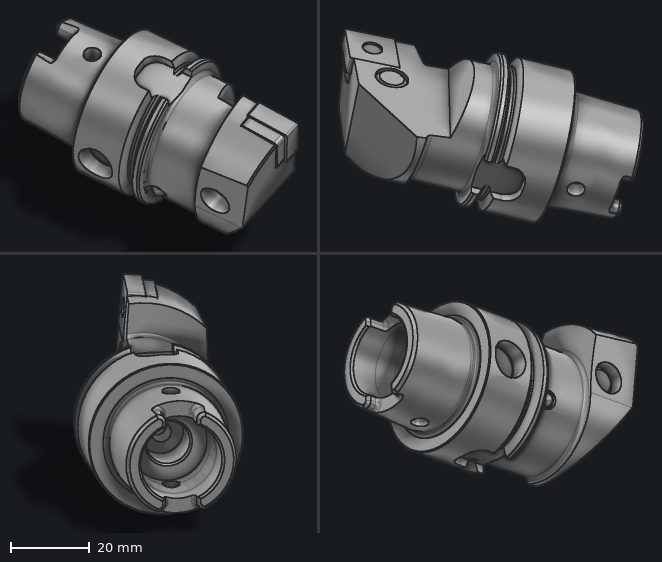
import cadquery as cq
import math


REACH = 149.8

shank_length = 20.0
shank_end_radius = 14.2
shank_gauge_radius = 15.05
shank_chamfer = 0.8
relief_start = -2.1
relief_length = 0.9
relief_radius = 14.8
relief_fillet = 0.75
face_recess_radius = 16.25
face_recess_depth = 0.15

mouth_radius = 11.1
bore_radius = 10.5
inner_bore_radius = 9.95
bore_taper_start = -12.2
bore_taper_end = -6.4
cavity_floor = -3.0
pilot_radius = 5.6
pilot_chamfer = 0.5
pilot_floor = 6.0
drill_radius = 2.55
drill_depth = 6.0

keyway_half_width = 4.05
keyway_wall_top = 11.0
keyway_edge_round = 1.8
keyway_flare_half_width = 9.0
keyway_floor_fillet = 1.0
keyway_mouth_chamfer = 0.9
upper_keyway_length = 6.15
lower_keyway_length = 3.4
cross_hole_x = -6.3
cross_hole_radius = 2.25

flange_radius = 20.0
flange_end = 19.8
flange_chamfer = 0.26
groove_start = 13.85
groove_floor_start = 15.5
groove_floor_end = 16.4
groove_end = 17.9
groove_radius = 17.2
groove_bend_radius = 17.45
groove_near_bend = 14.9
groove_far_bend = 16.85
rim_chamfer_start = 19.1
gripper_slot_start = 7.8
gripper_slot_half_width = 5.55
gripper_slot_corner = 4.2
gripper_slot_floor = 16.8
chip_hole_x = 6.9
chip_hole_radius = 5.0
chip_hole_depth = 4.95
chip_hole_chamfer = 0.2

neck_radius = 16.55
neck_fillet = 1.1
neck_end = 33.9
head_side = 18.05
head_back_x = 35.3
head_top_x = 37.1
head_top_radius = 24.65
head_front_x = 56.2
head_front_radius = 26.15
head_rim_chamfer = 0.45
head_rim_point = (53.9, 0.0, 25.7)

tip = (55.0, 0.0, 27.1)
rake_slope_x = 0.105
rake_slope_z = 0.1
rake_normal = (rake_slope_x, 1.0, rake_slope_z)
shoulder_point = (25.85, 16.55, 0.0)
shoulder_normal = (1.0, 0.28, 0.042)
end_face_point = (51.5, 0.0, 0.0)
end_face_normal = (1.0, -0.12, -0.094)
underside_point = (49.9, 0.0, 0.0)
underside_normal = (1.0, -0.035, -0.72)

screw_point = (41.3, -head_side, 5.9)
screw_radius = 4.23
screw_sink = 3.75
screw_chamfer = 1.05

insert_angle = math.radians(80)
insert_edge = 12.9
insert_thickness = 4.755
insert_nose = 0.5
insert_tilt = 0.09
insert_hole_radius = 2.55
shim_inset = 0.7
shim_thickness = 3.15
shim_edge = 11.8
shim_corner = 1.1
pocket_opening = 2.25

pin_sink = 0.6
pin_length = 10.5

nozzle_x = 22.85
nozzle_angle = math.radians(18)
nozzle_floor = 15.1
nozzle_recess_radius = 2.2
nozzle_rim = 16.5
nozzle_rim_radius = 2.55
nozzle_ball_distance = 15.6
nozzle_ball_radius = 1.9


def revolve_about_x(outline):
    return outline.close().revolve(360, (0, 0, 0), (1, 0, 0))


def beyond(point, normal):
    """Large block filling the side of a plane that its normal points to."""
    plane = cq.Plane(origin=point, normal=normal)
    return cq.Workplane(plane).rect(REACH, REACH).extrude(REACH)


def shank_and_flange():
    diagonal = math.sqrt(0.5)
    fillet_x = face_recess_depth - relief_fillet
    fillet_r = relief_radius + relief_fillet
    foot = flange_end + neck_fillet
    foot_r = neck_radius + neck_fillet
    outline = (
        cq.Workplane("XY")
        .moveTo(-shank_length, 0)
        .lineTo(-shank_length, shank_end_radius - shank_chamfer)
        .lineTo(-shank_length + shank_chamfer, shank_end_radius)
        .lineTo(relief_start, shank_gauge_radius)
        .lineTo(relief_start + relief_length, relief_radius)
        .lineTo(fillet_x, relief_radius)
        .threePointArc(
            (fillet_x + relief_fillet * diagonal, fillet_r - relief_fillet * diagonal),
            (face_recess_depth, fillet_r),
        )
        .lineTo(face_recess_depth, face_recess_radius)
        .lineTo(0, face_recess_radius)
        .lineTo(0, flange_radius - flange_chamfer)
        .lineTo(flange_chamfer, flange_radius)
        .lineTo(groove_start, flange_radius)
        .lineTo(groove_near_bend, groove_bend_radius)
        .lineTo(groove_floor_start, groove_radius)
        .lineTo(groove_floor_end, groove_radius)
        .lineTo(groove_far_bend, groove_bend_radius)
        .lineTo(groove_end, flange_radius)
        .lineTo(rim_chamfer_start, flange_radius)
        .lineTo(flange_end, flange_radius - flange_chamfer)
        .lineTo(flange_end, foot_r)
        .threePointArc((foot - neck_fillet * diagonal, foot_r - neck_fillet * diagonal), (foot, neck_radius))
        .lineTo(neck_end, neck_radius)
        .lineTo(neck_end, 0)
    )
    return revolve_about_x(outline)


def cutting_head():
    back_slope = math.atan2(head_top_radius - head_side, head_top_x - head_back_x)
    corner_x = head_back_x - (head_side - neck_radius) / math.tan(back_slope)
    tangent = corner_x - neck_end
    fillet = tangent / math.tan(back_slope / 2)
    outline = (
        cq.Workplane("XY")
        .moveTo(neck_end, 0)
        .lineTo(neck_end, neck_radius)
        .threePointArc(
            (
                neck_end + fillet * math.sin(back_slope / 2),
                neck_radius + fillet * (1 - math.cos(back_slope / 2)),
            ),
            (corner_x + tangent * math.cos(back_slope), neck_radius + tangent * math.sin(back_slope)),
        )
        .lineTo(head_top_x, head_top_radius)
        .lineTo(head_front_x, head_front_radius)
        .lineTo(head_front_x, 0)
    )
    section = (
        cq.Workplane("YZ")
        .moveTo(-head_side, 0)
        .threePointArc((0, -head_side), (head_side, 0))
        .lineTo(head_side, REACH)
        .lineTo(-head_side, REACH)
        .close()
        .extrude(REACH)
    )
    head = revolve_about_x(outline).intersect(section)
    head = head.cut(beyond(end_face_point, end_face_normal))
    head = head.edges(cq.selectors.NearestToPointSelector(head_rim_point)).chamfer(head_rim_chamfer)
    return head.cut(beyond(underside_point, underside_normal))


def shank_cavity():
    cone_tip = pilot_floor + drill_depth + drill_radius / math.sqrt(3)
    outline = (
        cq.Workplane("XY")
        .moveTo(-shank_length, 0)
        .lineTo(-shank_length, mouth_radius)
        .lineTo(-shank_length + mouth_radius - bore_radius, bore_radius)
        .lineTo(bore_taper_start, bore_radius)
        .lineTo(bore_taper_end, inner_bore_radius)
        .lineTo(cavity_floor, inner_bore_radius)
        .lineTo(cavity_floor, pilot_radius + pilot_chamfer)
        .lineTo(cavity_floor + pilot_chamfer, pilot_radius)
        .lineTo(pilot_floor, pilot_radius)
        .lineTo(pilot_floor, drill_radius)
        .lineTo(pilot_floor + drill_depth, drill_radius)
        .lineTo(cone_tip, 0)
    )
    return revolve_about_x(outline)


def keyway_profile(widening):
    """Half-open keyway section looking along the axis, flared where it meets the taper."""
    half = keyway_half_width + widening
    edge_round = keyway_edge_round - widening
    flare = half + edge_round
    side = keyway_flare_half_width
    top = keyway_wall_top + edge_round
    bend = edge_round * (1 - math.sqrt(0.5))
    return (
        cq.Workplane("YZ", origin=(-shank_length, 0, 0))
        .moveTo(-half, 0)
        .lineTo(-half, keyway_wall_top)
        .threePointArc((-half - bend, top - bend), (-flare, top))
        .lineTo(-side, top)
        .lineTo(-side, flange_radius)
        .lineTo(side, flange_radius)
        .lineTo(side, top)
        .lineTo(flare, top)
        .threePointArc((half + bend, top - bend), (half, keyway_wall_top))
        .lineTo(half, 0)
        .close()
    )


def keyway(length):
    slot = keyway_profile(0).extrude(length)
    slot = slot.faces(">X").edges("not(<Z or >Z)").fillet(keyway_floor_fillet)
    mouth = keyway_profile(keyway_mouth_chamfer).extrude(keyway_mouth_chamfer, taper=45)
    return slot.union(mouth)


def cross_hole():
    """Plain hole right through both walls of the shank."""
    return (
        cq.Workplane("XY", origin=(cross_hole_x, 0, 0))
        .circle(cross_hole_radius)
        .extrude(flange_radius, both=True)
    )


def gripper_slot():
    length = flange_end + neck_fillet - gripper_slot_start
    return (
        cq.Workplane("XY", origin=(gripper_slot_start + length / 2, 0, gripper_slot_floor))
        .rect(length, 2 * gripper_slot_half_width)
        .extrude(flange_radius)
        .edges("|Z and <X")
        .fillet(gripper_slot_corner)
    )


def chip_hole():
    return (
        cq.Workplane("XZ", origin=(chip_hole_x, -flange_radius + chip_hole_depth, 0))
        .circle(chip_hole_radius)
        .extrude(chip_hole_depth)
        .faces(">Y")
        .chamfer(chip_hole_chamfer)
    )


def screw_plane():
    return cq.Plane(origin=screw_point, normal=rake_normal)


def screw_hole():
    return cq.Workplane(screw_plane()).circle(screw_radius).extrude(REACH / 2, both=True)


def lever_screw_body():
    """Plain screw with chamfered ends that ends flush with the rake face."""
    start = cq.Vector(*screw_point)
    normal = cq.Vector(*rake_normal).normalized()
    length = (cq.Vector(*tip) - start).dot(normal) - screw_sink
    return (
        cq.Workplane(screw_plane())
        .workplane(offset=screw_sink)
        .circle(screw_radius)
        .extrude(length)
        .edges()
        .chamfer(screw_chamfer)
    )


def insert_plane():
    normal_part = -rake_slope_x - rake_slope_z * insert_tilt
    return cq.Plane(origin=tip, xDir=(1.0, normal_part, insert_tilt), normal=rake_normal)


def rhombus(side, inset):
    """Rhombus in the rake plane whose cutting corner is pulled in by the inset."""
    lean = math.cos(insert_angle)
    rise = math.sin(insert_angle)
    corner_x = -inset * (1 + lean)
    corner_y = inset * rise
    return (
        cq.Workplane(insert_plane())
        .moveTo(corner_x, corner_y)
        .lineTo(corner_x - side, corner_y)
        .lineTo(corner_x - side * (1 + lean), corner_y + side * rise)
        .lineTo(corner_x - side * lean, corner_y + side * rise)
        .close()
    )


def insert_blank():
    blank = rhombus(insert_edge, 0).extrude(-insert_thickness)
    return blank.edges(cq.selectors.ParallelDirSelector(cq.Vector(*rake_normal))).fillet(insert_nose)


def insert_pocket():
    """Seat for the insert and shim, open past the two cutting edges."""
    open_edge = insert_edge + pocket_opening
    open_shim_edge = shim_edge + shim_inset + pocket_opening
    insert_seat = rhombus(open_edge, -pocket_opening).extrude(-insert_thickness)
    shim_seat = rhombus(open_shim_edge, -pocket_opening).extrude(-insert_thickness - shim_thickness)
    return insert_seat.union(shim_seat)


def shim_blank():
    blank = rhombus(shim_edge, shim_inset).extrude(-insert_thickness - shim_thickness)
    blank = blank.edges(cq.selectors.ParallelDirSelector(cq.Vector(*rake_normal))).fillet(shim_corner)
    return blank.cut(rhombus(2 * insert_edge, -insert_edge / 2).extrude(-insert_thickness))


def insert_hole(depth):
    lean = 1 + math.cos(insert_angle)
    rise = math.sin(insert_angle)
    return (
        cq.Workplane(insert_plane())
        .center(-insert_edge * lean / 2, insert_edge * rise / 2)
        .circle(insert_hole_radius)
        .extrude(-depth)
    )


def nozzle_plane(distance):
    outward = cq.Vector(0, -math.cos(nozzle_angle), -math.sin(nozzle_angle))
    return cq.Plane(origin=(outward * distance + cq.Vector(nozzle_x, 0, 0)).toTuple(), normal=outward.toTuple())


def nozzle_recess():
    """Round recess with a 45 degree flare where it breaks out of the neck."""
    flare = nozzle_rim_radius - nozzle_recess_radius
    straight = cq.Workplane(nozzle_plane(nozzle_floor)).circle(nozzle_recess_radius).extrude(neck_radius - nozzle_floor)
    mouth_plane = nozzle_plane(nozzle_rim - flare)
    mouth = cq.Solid.makeCone(
        nozzle_recess_radius,
        nozzle_recess_radius + 4 * flare,
        4 * flare,
        mouth_plane.origin,
        mouth_plane.zDir,
    )
    return straight.union(cq.Workplane(mouth))


pin_end = pin_sink + pin_length
lever_pin = insert_hole(pin_end).cut(insert_hole(pin_sink))
cutting_insert = insert_blank().cut(insert_hole(pin_end))
shim = shim_blank().cut(insert_hole(pin_end))
lever_screw = lever_screw_body()
nozzle_ball = cq.Workplane(nozzle_plane(nozzle_ball_distance)).sphere(nozzle_ball_radius)

holder = shank_and_flange().cut(shank_cavity())
holder = holder.cut(keyway(upper_keyway_length))
holder = holder.cut(keyway(lower_keyway_length).rotate((0, 0, 0), (1, 0, 0), 180))
holder = holder.cut(cross_hole())
for turn in (0, 180):
    holder = holder.cut(gripper_slot().rotate((0, 0, 0), (1, 0, 0), turn))
holder = holder.cut(chip_hole()).cut(nozzle_recess()).cut(nozzle_ball)
holder = holder.union(cutting_head())
holder = holder.cut(beyond(tip, rake_normal).intersect(beyond(shoulder_point, shoulder_normal)))
holder = holder.cut(screw_hole())
holder = holder.cut(insert_pocket(), clean=False).cut(insert_hole(pin_end), clean=False)

result = cq.Compound.makeCompound(
    [
        holder.val(),
        cutting_insert.val(),
        shim.val(),
        lever_pin.val(),
        lever_screw.val(),
        nozzle_ball.val(),
    ]
)